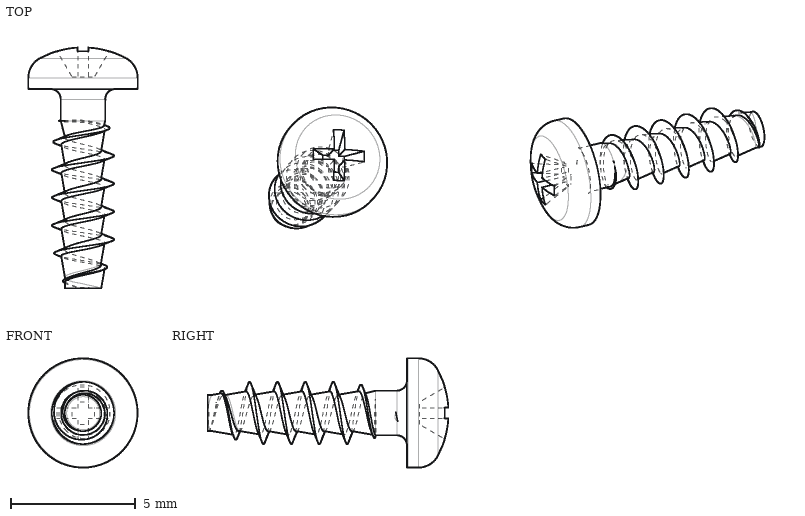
import cadquery as cq
import math


HEAD_RADIUS = 2.2
HEAD_HEIGHT = 1.685
RIM_HEIGHT = 0.46
RIM_EDGE_FILLET = 0.04
SHOULDER_RADIUS = 0.89
SHOULDER_CENTRE_R = HEAD_RADIUS - SHOULDER_RADIUS

CROWN_RISE = HEAD_HEIGHT - RIM_HEIGHT
CROWN_RADIUS = (SHOULDER_CENTRE_R**2 + CROWN_RISE**2 - SHOULDER_RADIUS**2) / (
    2 * (CROWN_RISE - SHOULDER_RADIUS)
)
CROWN_CENTRE_Y = HEAD_HEIGHT - CROWN_RADIUS

RECESS_WIDTH = 0.43
RECESS_TIP_RADIUS = 1.05
RECESS_BOTTOM_RADIUS = 0.45
RECESS_EDGE_Y = 1.535
RECESS_FLOOR_Y = 0.5

SHANK_LENGTH = 8.0
NECK_RADIUS = 0.9
NECK_FILLET = 0.4
NECK_END_Y = -1.26
NECK_TAPER_LENGTH = 0.65
DISH_RADIUS = 0.665
DISH_DEPTH = 0.05

PITCH = 1.12
CORE_RADIUS = 0.73
RAMP_RADIUS = 0.895
RAMP_LENGTH = 0.95
RAMP_OVERLAP = 0.02
RAMP_CREST_GAP = 0.1
THREAD_RADIUS = 1.25
FLANK_ANGLE = 20.0
RIDGE_DEPTH = 0.6
FIRST_CREST_Y = -1.555

RUNOUT_START_TURN = -0.6
LEVEL_RUNOUT_TURN = -0.25
FULL_THREAD_START_TURN = 0.7
FULL_THREAD_END_TURN = 4.25
TIP_END_TURN = 5.8
RAMP_START_TURN = -1.15
RAMP_END_TURN = 5.4
RUNOUT_RADIUS = 0.93
TIP_END_RADIUS = 0.70
SECTIONS_PER_TURN = 12


def polar(centre_r, centre_y, radius, angle):
    """Point (r, y) on an arc, with the angle measured from the outward radial direction."""
    return (centre_r + radius * math.cos(angle), centre_y + radius * math.sin(angle))


def blank():
    """Revolved head, filleted neck tapering to the core, and threadless core."""
    tangent_angle = math.atan2(RIM_HEIGHT - CROWN_CENTRE_Y, SHOULDER_CENTRE_R)
    crown_mid_angle = (tangent_angle + math.pi / 2) / 2
    fillet_mid = polar(NECK_RADIUS + NECK_FILLET, -NECK_FILLET, NECK_FILLET, 3 * math.pi / 4)
    edge_mid = polar(
        HEAD_RADIUS - RIM_EDGE_FILLET, RIM_EDGE_FILLET, RIM_EDGE_FILLET, -math.pi / 4
    )
    profile = (
        cq.Workplane("XY")
        .moveTo(0, -SHANK_LENGTH)
        .lineTo(CORE_RADIUS, -SHANK_LENGTH)
        .lineTo(CORE_RADIUS, NECK_END_Y - NECK_TAPER_LENGTH)
        .lineTo(NECK_RADIUS, NECK_END_Y)
        .lineTo(NECK_RADIUS, -NECK_FILLET)
        .threePointArc(fillet_mid, (NECK_RADIUS + NECK_FILLET, 0))
        .lineTo(HEAD_RADIUS - RIM_EDGE_FILLET, 0)
        .threePointArc(edge_mid, (HEAD_RADIUS, RIM_EDGE_FILLET))
        .lineTo(HEAD_RADIUS, RIM_HEIGHT)
        .threePointArc(
            polar(SHOULDER_CENTRE_R, RIM_HEIGHT, SHOULDER_RADIUS, tangent_angle / 2),
            polar(SHOULDER_CENTRE_R, RIM_HEIGHT, SHOULDER_RADIUS, tangent_angle),
        )
        .threePointArc(polar(0, CROWN_CENTRE_Y, CROWN_RADIUS, crown_mid_angle), (0, HEAD_HEIGHT))
        .close()
    )
    return profile.revolve(360, (0, 0, 0), (0, 1, 0))


def cross_recess():
    """Two crossed slots whose ends slope inwards to a flat floor."""
    slot = (
        cq.Workplane("XY")
        .polyline(
            [
                (-RECESS_TIP_RADIUS, HEAD_HEIGHT),
                (-RECESS_TIP_RADIUS, RECESS_EDGE_Y),
                (-RECESS_BOTTOM_RADIUS, RECESS_FLOOR_Y),
                (RECESS_BOTTOM_RADIUS, RECESS_FLOOR_Y),
                (RECESS_TIP_RADIUS, RECESS_EDGE_Y),
                (RECESS_TIP_RADIUS, HEAD_HEIGHT),
            ]
        )
        .close()
        .extrude(RECESS_WIDTH / 2, both=True)
    )
    return slot.union(slot.rotate((0, 0, 0), (0, 1, 0), 90))


def helix_y(turn):
    return FIRST_CREST_Y - PITCH * turn


def section_wire(points, turn):
    """Closed wire through (r, y) points in the axial half-plane reached after the given turns."""
    angle = 2 * math.pi * turn
    corners = [cq.Vector(r * math.cos(angle), y, r * math.sin(angle)) for r, y in points]
    return cq.Wire.makePolygon(corners, close=True)


def helical_loft(section, start_turn, end_turn):
    """Smooth solid through the section outlines from start_turn to end_turn."""
    steps = math.ceil((end_turn - start_turn) * SECTIONS_PER_TURN)
    turns = [start_turn + (end_turn - start_turn) * i / steps for i in range(steps + 1)]
    return cq.Workplane(cq.Solid.makeLoft([section_wire(section(t), t) for t in turns]))


def crest_radius(turn):
    if turn < FULL_THREAD_START_TURN:
        share = (FULL_THREAD_START_TURN - turn) / (FULL_THREAD_START_TURN - RUNOUT_START_TURN)
        return THREAD_RADIUS + share * (RUNOUT_RADIUS - THREAD_RADIUS)
    if turn > FULL_THREAD_END_TURN:
        share = (turn - FULL_THREAD_END_TURN) / (TIP_END_TURN - FULL_THREAD_END_TURN)
        return THREAD_RADIUS + share * (TIP_END_RADIUS - THREAD_RADIUS)
    return THREAD_RADIUS


def ramp_section(turn):
    """Core wedge: widest inside the ridge, narrowing to below the core surface towards the tip."""
    top_y = helix_y(turn)
    top_r = RAMP_RADIUS
    if turn > FULL_THREAD_END_TURN:
        top_r = min(RAMP_RADIUS, crest_radius(turn) - RAMP_CREST_GAP)
    inner_r = CORE_RADIUS - RAMP_OVERLAP
    length = RAMP_LENGTH * (top_r - inner_r) / (RAMP_RADIUS - CORE_RADIUS)
    return [(inner_r, top_y), (top_r, top_y), (inner_r, top_y - length)]


def ridge_section(turn):
    """Sharp triangular thread ridge; the runout stays level once it reaches the neck."""
    crest_y = helix_y(max(turn, LEVEL_RUNOUT_TURN))
    crest_r = crest_radius(turn)
    half_base = RIDGE_DEPTH * math.tan(math.radians(FLANK_ANGLE))
    base_r = crest_r - RIDGE_DEPTH
    return [(base_r, crest_y + half_base), (crest_r, crest_y), (base_r, crest_y - half_base)]


def beyond_tip():
    """Block covering everything past the flat tip face."""
    return (
        cq.Workplane("XZ", origin=(0, -SHANK_LENGTH, 0))
        .rect(2 * HEAD_RADIUS, 2 * HEAD_RADIUS)
        .extrude(PITCH)
    )


def tip_dish():
    """Ball that leaves a shallow spherical dish in the tip face."""
    ball_radius = (DISH_RADIUS**2 + DISH_DEPTH**2) / (2 * DISH_DEPTH)
    centre_y = DISH_DEPTH - SHANK_LENGTH - ball_radius
    return cq.Workplane("XY").sphere(ball_radius).translate((0, centre_y, 0))


def screw():
    ramp = helical_loft(ramp_section, RAMP_START_TURN, RAMP_END_TURN).cut(beyond_tip())
    ridge = helical_loft(ridge_section, RUNOUT_START_TURN, TIP_END_TURN).cut(beyond_tip())
    return blank().union(ramp).union(ridge).cut(cross_recess()).cut(tip_dish())


result = screw()